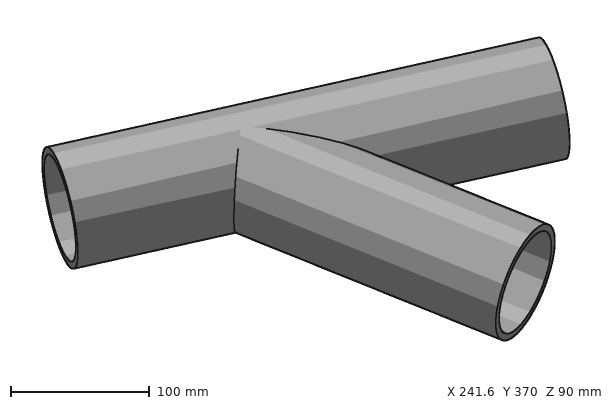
import cadquery as cq

OUTER_DIAMETER = 90.0
BORE_DIAMETER = 79.2

BRANCH_ANGLE = 45.0
INLET_LENGTH = 136.0
OUTLET_LENGTH = 234.0
BRANCH_LENGTH = 233.0

RUN_LENGTH = INLET_LENGTH + OUTLET_LENGTH


def run_cylinder(diameter):
    """Straight cylinder along Y, from the inlet end to the outlet end."""
    inlet_plane = cq.Plane(origin=(0, -INLET_LENGTH, 0), xDir=(1, 0, 0), normal=(0, 1, 0))
    return cq.Workplane(inlet_plane).circle(diameter / 2).extrude(RUN_LENGTH)


def branch_cylinder(diameter):
    """Cylinder from the junction, tilted off the run axis in the XY plane."""
    junction_plane = cq.Plane(origin=(0, 0, 0), xDir=(1, 0, 0), normal=(0, 1, 0))
    straight = cq.Workplane(junction_plane).circle(diameter / 2).extrude(BRANCH_LENGTH)
    return straight.rotate((0, 0, 0), (0, 0, 1), -BRANCH_ANGLE)


def wye(diameter):
    """Run and branch cylinders of one diameter, joined."""
    return run_cylinder(diameter).union(branch_cylinder(diameter))


result = wye(OUTER_DIAMETER).cut(wye(BORE_DIAMETER))